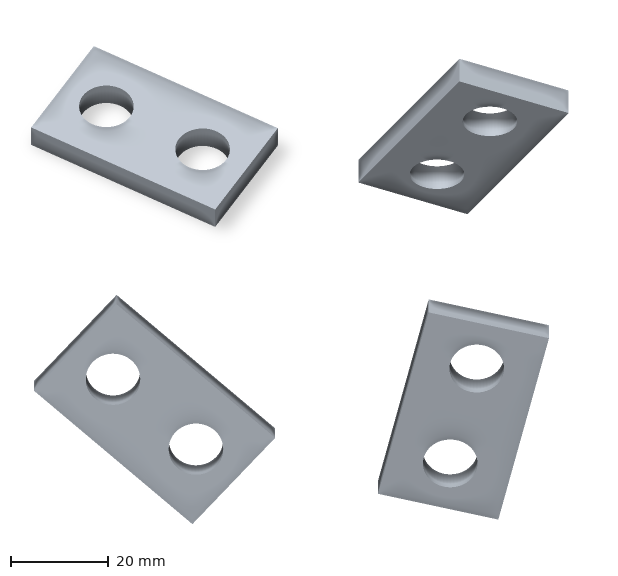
import cadquery as cq

length = 43.7
width = 25.4
thickness = 5.5

hole_diameter = 11.2
hole_spacing = 22.85

plate = cq.Workplane("XY").box(length, width, thickness)

result = (
    plate.faces(">Z")
    .workplane()
    .pushPoints([(-hole_spacing / 2, 0), (hole_spacing / 2, 0)])
    .hole(hole_diameter)
)